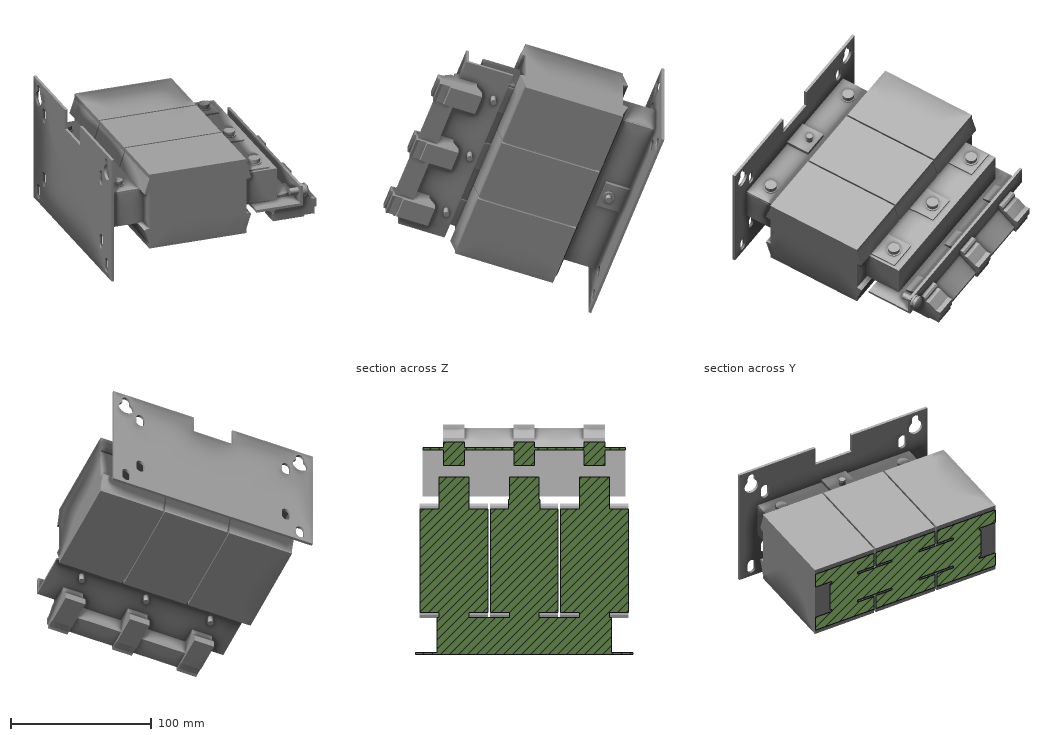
import cadquery as cq
import math

total_depth = 164.1
sheet = 2.0
mid_z = 48.5

plate_width = 155.0
plate_height = 95.0
notch_width = 29.9
notch_depth = 15.0
slot_width = 6.0
slot_length = 11.3
outer_slot_x = 67.6
outer_slot_z = 8.5
inner_slot_x = 56.6
inner_slot_z = (22.6, 72.4)
keyhole_z = 81.2
keyhole_diameter = 11.2
keyhole_neck = 7.7
lug_width = 20.0
lug_end_y = 19.9
lug_thickness = 2.6

pitch = 50.0
leg_width = 25.0
core_width = 2 * pitch + leg_width
core_height = 24.3
core_end_y = 132.0
liner = 1.3
liner_inset = 0.2
liner_width = core_width - 2 * liner_inset
lined_height = core_height + 2 * liner
column_x = (-pitch, 0, pitch)

coil_width = 48.7
coil_height = 58.0
coil_start_y = 30.0
coil_end_y = 104.0
coil_overhang = 3.8
coil_edge = 3.3
flange_end_width = 2.0
flange_end_rise = 0.8
rear_liner_y = 101.9
rear_gap = 1.3
tab_width = 21.5
tab_end_y = 127.0
middle_foot_width = 22.5
middle_foot_end_y = 111.0

head_diameter = 8.2
washer_diameter = 10.2
washer_thickness = 0.7
head_height = 3.1
rear_screw_y = 119.5
rear_rod_diameter = 4.1
front_screw_y = 14.5
front_rod_diameter = 4.5
rod_end_z = 27.2
stud_end_z = 69.5
nut_diameter = 8.2
lower_nut_height = 1.1

bracket_width = 144.7
bracket_start_y = 112.7
bracket_end_y = 148.0
bracket_top_z = 48.5

earth_x = 67.6
earth_z = 43.3
earth_end_y = 139.5
earth_shank_diameter = 4.8
earth_washer_diameter = 9.7
earth_spring_diameter = 8.5
earth_washer = 1.5
earth_head_rim = 0.8
earth_head_height = 2.8

terminal_width = 15.3
terminal_bottom_z = 17.2
terminal_rear_bottom_z = 18.4
terminal_rear_z = (23.6, 30.0)
terminal_step_y = 162.6
terminal_front_y = (130.8, 134.7)
terminal_shoulder_z = 34.6
terminal_top_z = 38.2
strip_end_y = 161.5
strip_start_y = 147.0
strip_bottom_z = 20.3
strip_edge_z = 22.3

core_bottom = mid_z - core_height / 2
core_top = mid_z + core_height / 2
lined_bottom = core_bottom - liner
lined_top = core_top + liner
bracket_bottom = lined_bottom - sheet


def block(width, y0, y1, z0, z1, x=0):
    """Box centred on x, between the given Y and Z limits."""
    return cq.Workplane("XY").box(width, y1 - y0, z1 - z0, (True, False, False)).translate((x, y0, z0))


def upright(diameter, x, y, z0, z1):
    """Vertical cylinder between two heights."""
    return cq.Workplane("XY", origin=(x, y, z0)).circle(diameter / 2).extrude(z1 - z0)


def rearward(diameter, x, z, y0, y1):
    """Cylinder along Y between two depths."""
    return cq.Workplane("XZ", origin=(x, y0, z)).circle(diameter / 2).extrude(y0 - y1)


def side_profile(points, width, x=0):
    """Outline in the YZ plane, extruded to the given width centred on x."""
    return cq.Workplane("YZ", origin=(x, 0, 0)).polyline(points).close().extrude(width / 2, both=True)


def mounting_plate():
    plate = block(plate_width, 0, sheet, 0, plate_height)
    plate = plate.cut(block(notch_width, 0, sheet, plate_height - notch_depth, plate_height))
    slots = [(side * outer_slot_x, outer_slot_z) for side in (-1, 1)]
    slots += [(side * inner_slot_x, z) for side in (-1, 1) for z in inner_slot_z]
    openings = cq.Workplane("XZ").pushPoints(slots).slot2D(slot_length, slot_width, 90).extrude(-sheet)
    for x in (-outer_slot_x, outer_slot_x):
        neck_top = keyhole_z + keyhole_neck
        openings = openings.union(rearward(keyhole_diameter, x, keyhole_z, 0, sheet))
        openings = openings.union(block(slot_width, 0, sheet, keyhole_z, neck_top, x))
        openings = openings.union(rearward(slot_width, x, neck_top, 0, sheet))
    plate = plate.cut(openings)
    for z in (lined_bottom - lug_thickness, lined_top):
        plate = plate.union(block(lug_width, 0, lug_end_y, z, z + lug_thickness))
    return plate


def core():
    front_yoke_end = sheet + leg_width
    rear_yoke_start = core_end_y - leg_width
    body = block(core_width, sheet, front_yoke_end, core_bottom, core_top)
    body = body.union(block(core_width, rear_yoke_start, core_end_y, core_bottom, core_top))
    body = body.union(block(liner_width, sheet, front_yoke_end, lined_bottom, lined_top))
    body = body.union(block(liner_width, rear_liner_y, rear_yoke_start, core_bottom, core_top))
    for x in column_x:
        leg_end = rear_yoke_start - rear_gap
        body = body.union(block(leg_width, front_yoke_end, leg_end, core_bottom, core_top, x))
        body = body.union(block(tab_width, front_yoke_end, coil_start_y, lined_bottom, lined_top, x))
        for z in (lined_bottom, core_top):
            body = body.union(block(tab_width, rear_liner_y, tab_end_y, z, z + liner, x))
    for z in (lined_bottom, core_top):
        body = body.union(block(middle_foot_width, rear_liner_y, middle_foot_end_y, z, z + liner))
    return body


def coil(x):
    flange_start = coil_start_y - coil_overhang
    flange_end = coil_end_y + coil_overhang
    half_lined = lined_height / 2
    half_coil = coil_height / 2
    upper = [
        (coil_start_y, half_lined),
        (flange_start + flange_end_width, half_lined),
        (flange_start, half_lined + flange_end_rise),
        (coil_start_y, half_coil - coil_edge),
        (coil_start_y, half_coil),
        (coil_end_y, half_coil),
        (coil_end_y, half_coil - coil_edge),
        (flange_end, half_lined + flange_end_rise),
        (flange_end - flange_end_width, half_lined),
        (coil_end_y, half_lined),
    ]
    outline = [(y, mid_z + h) for y, h in upper]
    outline += [(y, mid_z - h) for y, h in reversed(upper)]
    return side_profile(outline, coil_width, x)


def clamping_screw(x, y, rod_diameter, rod_start_z):
    washer_top = lined_top + washer_thickness
    screw = upright(rod_diameter, x, y, rod_start_z, washer_top)
    screw = screw.union(upright(washer_diameter, x, y, core_top, washer_top))
    return screw.union(upright(head_diameter, x, y, washer_top, washer_top + head_height))


def lug_stud():
    lug_bottom = lined_bottom - lug_thickness
    stud = upright(front_rod_diameter, 0, front_screw_y, rod_end_z, stud_end_z)
    return stud.union(upright(nut_diameter, 0, front_screw_y, lug_bottom - lower_nut_height, lug_bottom))


def terminal_bracket():
    floor = block(bracket_width, bracket_start_y, bracket_end_y, bracket_bottom, lined_bottom)
    wall = block(bracket_width, bracket_end_y - sheet, bracket_end_y, bracket_bottom, bracket_top_z)
    return floor.union(wall)


def earthing_screw():
    screw = rearward(earth_shank_diameter, earth_x, earth_z, earth_end_y, bracket_end_y)
    y = bracket_end_y
    for diameter in (earth_washer_diameter, earth_spring_diameter):
        screw = screw.union(rearward(diameter, earth_x, earth_z, y, y + earth_washer))
        y += earth_washer
    radius = earth_washer_diameter / 2
    dome_rise = earth_head_height - earth_head_rim
    dome_radius = (radius**2 + dome_rise**2) / (2 * dome_rise)
    middle_rise = math.sqrt(dome_radius**2 - (radius / 2) ** 2) - dome_radius + earth_head_height
    head = (
        cq.Workplane("XY")
        .lineTo(radius, 0)
        .lineTo(radius, earth_head_rim)
        .threePointArc((radius / 2, middle_rise), (0, earth_head_height))
        .close()
        .revolve(360, (0, 0, 0), (0, 1, 0))
    )
    return screw.union(head.translate((earth_x, y, earth_z)))


def terminal(x):
    lower_front_y, upper_front_y = terminal_front_y
    rear_low_z, rear_high_z = terminal_rear_z
    outline = [
        (total_depth, rear_high_z),
        (total_depth, rear_low_z),
        (terminal_step_y, rear_low_z),
        (terminal_step_y, 17.9),
        (160.5, terminal_rear_bottom_z),
        (154.9, terminal_rear_bottom_z),
        (154.5, terminal_bottom_z),
        (lower_front_y, terminal_bottom_z),
        (lower_front_y, 22.6),
        (upper_front_y, 29.0),
        (upper_front_y, 36.8),
        (143.1, terminal_top_z),
        (150.5, terminal_top_z),
        (151.8, 37.1),
        (151.8, terminal_shoulder_z),
        (154.5, terminal_shoulder_z),
        (160.7, rear_high_z),
    ]
    return side_profile(outline, terminal_width, x)


def terminal_strip():
    outline = [
        (strip_end_y, strip_bottom_z),
        (strip_end_y, strip_edge_z),
        (strip_start_y, bracket_bottom),
        (strip_start_y, strip_bottom_z),
    ]
    return side_profile(outline, 2 * pitch)


result = mounting_plate().union(core()).union(terminal_bracket())
for column in column_x:
    result = result.union(coil(column)).union(terminal(column))
    result = result.union(clamping_screw(column, rear_screw_y, rear_rod_diameter, rod_end_z))
for column in (-pitch, pitch):
    result = result.union(clamping_screw(column, front_screw_y, front_rod_diameter, lined_bottom))
result = result.union(lug_stud()).union(earthing_screw()).union(terminal_strip())